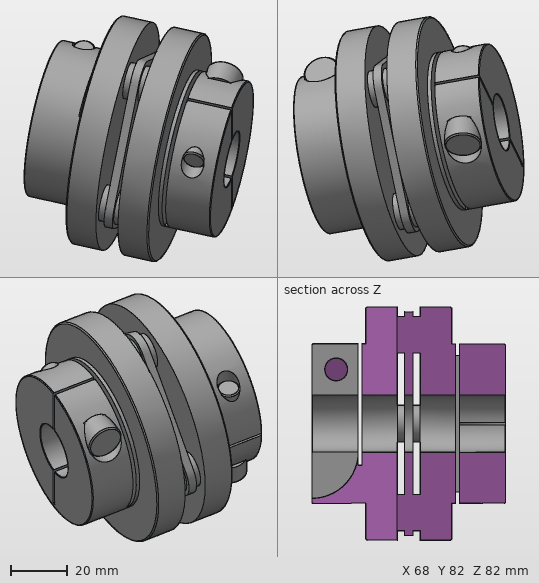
import cadquery as cq
import math


coupling_length = 68.0
flange_gap = 8.0
bore_radius = 10.0
bore_chamfer = 0.25

flange_radius = 41.0
flange_thickness = 11.1
flange_chamfer = 0.5
collar_radius = 28.05
collar_chamfer = 0.3

clamp_length = 16.2
relief_width = 1.3
relief_floor = -14.5
slit_width = 1.0
slit_reach = 26.15

screw_inset = 8.5
screw_offset = 19.0
screw_radius = 4.0
screw_head_radius = 6.5
screw_head_length = 7.95
screw_chamfer = 0.5
screw_seat = 14.1
screw_tip = 19.0

plate_thickness = 3.0
plate_corner_radius = 8.1
spacer_radius = 6.5
spacer_count = 4
spacer_circle_radius = 31.2

hub_end = -coupling_length / 2
flange_inner_face = -flange_gap / 2
flange_outer_face = flange_inner_face - flange_thickness
hub_length = flange_inner_face - hub_end
clamp_end = hub_end + clamp_length
screw_x = hub_end + screw_inset


def disc(radius, start, length):
    """A cylinder along X that starts at X = start."""
    return cq.Workplane("YZ", origin=(start, 0, 0)).circle(radius).extrude(length)


def screw_cylinder(radius, start, length):
    """A cylinder on the screw axis, along Z, that starts at Z = start."""
    return cq.Workplane("XY", origin=(screw_x, screw_offset, start)).circle(radius).extrude(length)


def make_hub_blank():
    """Flange and collar with the shaft bore."""
    flange = disc(flange_radius, flange_outer_face, flange_thickness)
    flange = flange.faces("<X").chamfer(flange_chamfer)
    collar = disc(collar_radius, hub_end, flange_outer_face - hub_end)
    collar = collar.faces("<X").chamfer(collar_chamfer)
    bore = disc(bore_radius, hub_end, hub_length)
    blank = flange.union(collar).cut(bore)
    bore_rim = cq.selectors.RadiusNthSelector(0)
    return blank.faces("<X").edges(bore_rim).chamfer(bore_chamfer)


def make_relief_slot():
    """Slot across the collar that frees the clamp from the flange."""
    depth = collar_radius - relief_floor
    return cq.Workplane("XY").box(
        relief_width, depth, 2 * collar_radius, centered=(False, False, True)
    ).translate((clamp_end, relief_floor, 0))


def make_slit():
    """Slit in the plane Z = 0, open on the +Y side, with a quarter-round floor on the -Y side."""
    floor_radius = clamp_length
    floor_center = floor_radius - slit_reach
    floor_middle = (
        hub_end + floor_radius * math.sin(math.pi / 4),
        floor_center - floor_radius * math.cos(math.pi / 4),
    )
    return (
        cq.Workplane("XY")
        .moveTo(hub_end, -slit_reach)
        .threePointArc(floor_middle, (clamp_end, floor_center))
        .lineTo(clamp_end, collar_radius)
        .lineTo(hub_end, collar_radius)
        .close()
        .extrude(slit_width / 2, both=True)
    )


def make_screw_hole():
    """Through hole for the screw, with a recess for its head that opens at -Z."""
    shank_hole = screw_cylinder(screw_radius, -collar_radius, 2 * collar_radius)
    head_recess = screw_cylinder(screw_head_radius, -collar_radius, collar_radius - screw_seat)
    return shank_hole.union(head_recess)


def make_hub():
    """Clamping hub on the -X side."""
    return make_hub_blank().cut(make_relief_slot()).cut(make_slit()).cut(make_screw_hole())


def make_screw():
    """Clamp screw of the hub on the -X side, with its head toward -Z."""
    shank = screw_cylinder(screw_radius, -screw_seat, screw_seat + screw_tip)
    shank = shank.faces(">Z").chamfer(screw_chamfer)
    head = screw_cylinder(screw_head_radius, -screw_seat - screw_head_length, screw_head_length)
    head = head.faces("<Z").chamfer(screw_chamfer)
    return shank.union(head)


def make_plate():
    """Rounded square plate, standing on its corner, with spacers that fill the flange gap."""
    plate_side = math.sqrt(2) * spacer_circle_radius + 2 * plate_corner_radius
    plate = cq.Workplane("YZ").rect(plate_side, plate_side).extrude(plate_thickness / 2, both=True)
    plate = plate.edges("|X").fillet(plate_corner_radius)
    plate = plate.rotate((0, 0, 0), (1, 0, 0), 45)
    spacers = (
        cq.Workplane("YZ")
        .polarArray(spacer_circle_radius, 0, 360, spacer_count)
        .circle(spacer_radius)
        .extrude(flange_gap / 2, both=True)
    )
    bore = disc(bore_radius, flange_inner_face, flange_gap)
    return plate.union(spacers).cut(bore)


def to_other_side(body):
    """Mirrors a body to the +X side and turns it a quarter turn, +Y to +Z."""
    return body.mirror("YZ").rotate((0, 0, 0), (1, 0, 0), 90)


plain_hub = make_hub()
plate_hub = to_other_side(make_hub()).union(make_plate())

clamp_screws = [make_screw(), to_other_side(make_screw())]

result = cq.Compound.makeCompound(
    [plain_hub.val(), plate_hub.val(), *[screw.val() for screw in clamp_screws]]
)